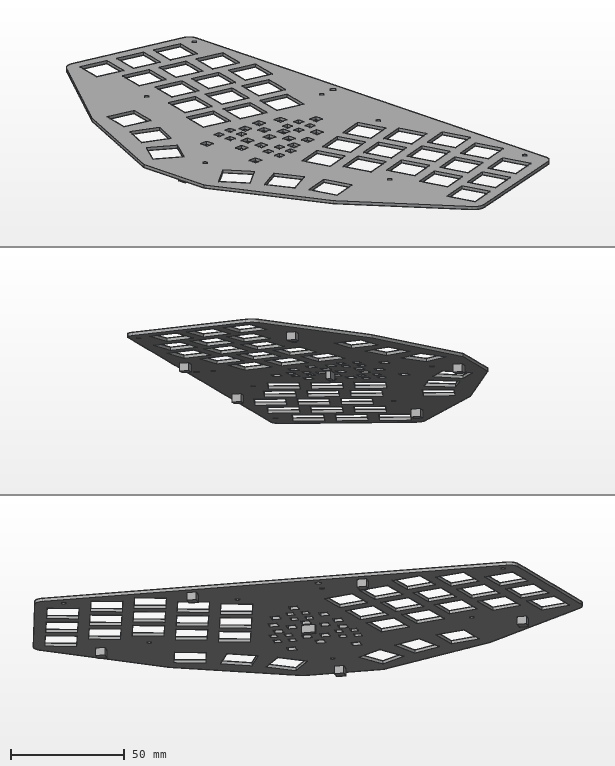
import cadquery as cq
import math

WIDTH = 248.12
DEPTH = 127.0
HEIGHT = 5.0
PLATE_THICKNESS = 1.5
FOOT_HEIGHT = HEIGHT - PLATE_THICKNESS

BACK_Y = DEPTH / 2
FRONT_Y = -DEPTH / 2
SIDE_ANGLE = 14.4
PALM_ANGLE = 36.4
FRONT_ANGLE = 24.7
FRONT_HALF_WIDTH = 18.1
ELBOW_X = 72.5
SIDE_CORNER_RADIUS = 5.5
BACK_CORNER_RADIUS = 4.5
PICK_MARGIN = 1.0

KEY_SIZE = 14.0
KEY_PITCH = 19.05
KEY_TILT = 15
KEY_ROWS = 3
INNER_KEY = (24.75, 32.57)
COLUMN_STAGGER = (0.0, 2.5, 7.5, 2.5, -7.6)
THUMB_KEYS = ((60.5, -27.55, 15), (40.2, -35.5, 25.5), (21.4, -46.25, 35))

LARGE_WINDOW = 4.0
BACK_WINDOWS_CENTER_X = 0.0
BACK_WINDOWS = ((0.0, 28.1), (10.95, 16.8))
FRONT_WINDOWS_CENTER_X = -0.35
FRONT_WINDOWS = (
    (0.0, 7.4),
    (14.6, 7.4),
    (7.5, 2.9),
    (0.0, -1.6),
    (14.6, -1.6),
    (4.1, -11.3),
    (0.0, -19.5),
    (14.6, -26.3),
)
SMALL_WINDOW = 3.2
SMALL_PITCH_X = 6.8
SMALL_PITCH_Y = 7.2
SMALL_GROUPS = ((0.0, 16.9), (-15.1, -11.1), (14.5, -11.1))

SCREW_DIAMETER = 2.0
SCREW_HOLES = (
    (-102.4, 59.5),
    (96.6, 58.85),
    (-18.5, 51.5),
    (21.2, 45.5),
    (-73.0, -2.9),
    (73.0, -2.9),
    (0.0, -43.5),
)
CABLE_HOLE_DIAMETER = 2.69
CABLE_HOLE = (-18.7, 59.1)

FOOT_SIZE = 4.2
FEET = (
    (-38.6, 58.0, FOOT_SIZE, FOOT_SIZE),
    (38.4, 58.0, FOOT_SIZE, FOOT_SIZE),
    (-94.6, -8.9, FOOT_SIZE, FOOT_SIZE),
    (95.6, -6.7, FOOT_SIZE, FOOT_SIZE),
    (-0.4, -56.0, FOOT_SIZE, FOOT_SIZE),
    (-0.7, 3.1, 6.0, 2.2),
)


def tangent(angle):
    return math.tan(math.radians(angle))


def round_corners(plate, y, radius):
    """Round the two upright corner edges that stand at this y."""
    band = cq.selectors.BoxSelector(
        (-WIDTH, y - PICK_MARGIN, -PICK_MARGIN),
        (WIDTH, y + PICK_MARGIN, HEIGHT),
    )
    return plate.edges("|Z").edges(band).fillet(radius)


def make_plate():
    elbow_y = FRONT_Y + (ELBOW_X - FRONT_HALF_WIDTH) * tangent(FRONT_ANGLE)
    tilt = math.radians((90 - PALM_ANGLE - SIDE_ANGLE) / 2)
    half_turn = math.radians((90 - PALM_ANGLE + SIDE_ANGLE) / 2)
    overshoot = SIDE_CORNER_RADIUS * (math.cos(tilt) / math.cos(half_turn) - 1)
    side_x = WIDTH / 2 + overshoot
    side_y = elbow_y + (side_x - ELBOW_X) * tangent(PALM_ANGLE)
    back_x = side_x - (BACK_Y - side_y) * tangent(SIDE_ANGLE)
    right = [(FRONT_HALF_WIDTH, FRONT_Y), (ELBOW_X, elbow_y), (side_x, side_y), (back_x, BACK_Y)]
    left = [(-x, y) for x, y in reversed(right)]
    plate = cq.Workplane("XY").polyline(right + left).close().extrude(PLATE_THICKNESS)
    plate = round_corners(plate, BACK_Y, BACK_CORNER_RADIUS)
    return round_corners(plate, side_y, SIDE_CORNER_RADIUS)


def square_opening(x, y, size, tilt=0):
    opening = cq.Workplane("XY").rect(size, size).extrude(PLATE_THICKNESS)
    return opening.rotate((0, 0, 0), (0, 0, 1), tilt).translate((x, y, 0))


def key_positions():
    """Places and tilts of the keys on the right half."""
    cos_tilt = math.cos(math.radians(KEY_TILT))
    sin_tilt = math.sin(math.radians(KEY_TILT))
    places = []
    for column, stagger in enumerate(COLUMN_STAGGER):
        for row in range(KEY_ROWS):
            along = column * KEY_PITCH
            up = stagger - row * KEY_PITCH
            x = INNER_KEY[0] + along * cos_tilt - up * sin_tilt
            y = INNER_KEY[1] + along * sin_tilt + up * cos_tilt
            places.append((x, y, KEY_TILT))
    return places + list(THUMB_KEYS)


def cut_keys(plate):
    for x, y, tilt in key_positions():
        plate = plate.cut(square_opening(x, y, KEY_SIZE, tilt))
        plate = plate.cut(square_opening(-x, y, KEY_SIZE, -tilt))
    return plate


def cut_large_windows(plate, center_x, windows):
    for half_spacing, y in windows:
        for offset in {half_spacing, -half_spacing}:
            plate = plate.cut(square_opening(center_x + offset, y, LARGE_WINDOW))
    return plate


def cut_small_windows(plate):
    for group_x, group_y in SMALL_GROUPS:
        for side in (-1, 1):
            for end in (-1, 1):
                x = group_x + side * SMALL_PITCH_X / 2
                y = group_y + end * SMALL_PITCH_Y / 2
                plate = plate.cut(square_opening(x, y, SMALL_WINDOW))
    return plate


def cut_round_holes(plate, places, diameter):
    holes = cq.Workplane("XY").pushPoints(places).circle(diameter / 2).extrude(PLATE_THICKNESS)
    return plate.cut(holes)


def add_feet(plate):
    for x, y, length_x, length_y in FEET:
        foot = cq.Workplane("XY").center(x, y).rect(length_x, length_y).extrude(-FOOT_HEIGHT)
        plate = plate.union(foot)
    return plate


part = make_plate()
part = cut_keys(part)
part = cut_large_windows(part, BACK_WINDOWS_CENTER_X, BACK_WINDOWS)
part = cut_large_windows(part, FRONT_WINDOWS_CENTER_X, FRONT_WINDOWS)
part = cut_small_windows(part)
part = cut_round_holes(part, SCREW_HOLES, SCREW_DIAMETER)
part = cut_round_holes(part, [CABLE_HOLE], CABLE_HOLE_DIAMETER)
result = add_feet(part)